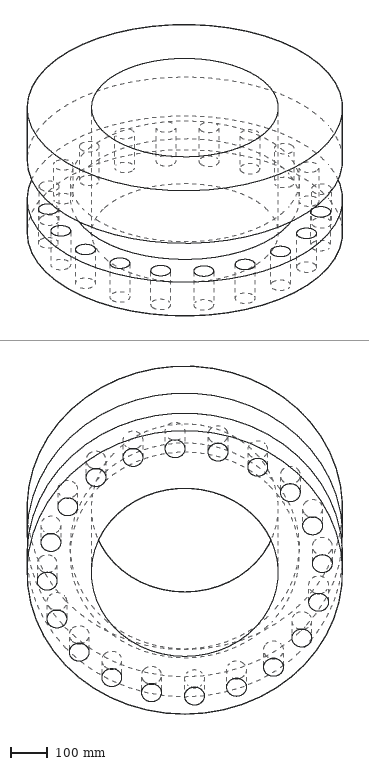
import cadquery as cq

outer_diameter = 857.0
total_height = 400.0
bore_diameter = 507.0
neck_diameter = 622.0

flange_thickness = 108.0
neck_length = 56.5
rim_thickness = 168.0

bolt_count = 20
bolt_circle_diameter = 749.0
bolt_hole_diameter = 54.0

outer_radius = outer_diameter / 2
bore_radius = bore_diameter / 2
neck_radius = neck_diameter / 2
neck_top = flange_thickness + neck_length
rim_bottom = total_height - rim_thickness


def revolved_body():
    """Flange, neck, cone and upper rim around a through bore, in one revolve about Z."""
    profile = (
        cq.Workplane("XZ")
        .moveTo(bore_radius, 0)
        .lineTo(outer_radius, 0)
        .lineTo(outer_radius, flange_thickness)
        .lineTo(neck_radius, flange_thickness)
        .lineTo(neck_radius, neck_top)
        .lineTo(outer_radius, rim_bottom)
        .lineTo(outer_radius, total_height)
        .lineTo(bore_radius, total_height)
        .close()
    )
    return profile.revolve(360, (0, 0, 0), (0, 1, 0))


def bolt_hole_cutters():
    """Cylinders through the lower flange only, with the first one on the +X axis."""
    return (
        cq.Workplane("XY")
        .polarArray(bolt_circle_diameter / 2, 0, 360, bolt_count)
        .circle(bolt_hole_diameter / 2)
        .extrude(flange_thickness)
    )


result = revolved_body().cut(bolt_hole_cutters())